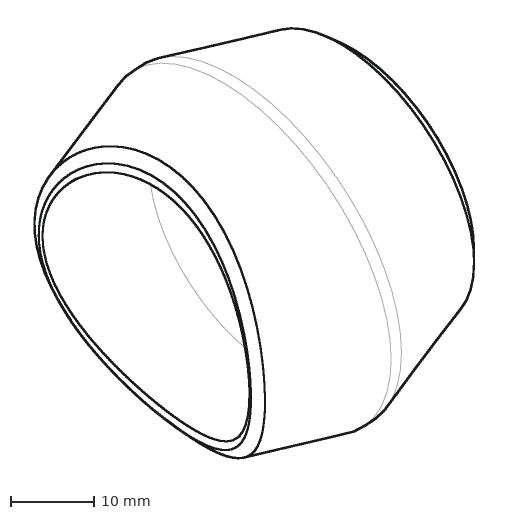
import cadquery as cq

length = 36.75
belt_radius = 25.4
belt_width = 1.7
belt_to_flat_end = 18.35
weld_bevel = 1.7
shoulder_radius = 20.15
flat_end_radius = 18.35

inlet_radius = 18.3
outlet_radius = 16.6

saddle_radius = 53.35
saddle_tip_half_width = 18.75
saddle_bevel = 1.3
blank_overrun = 3.55

flat_end_y = length / 2
shoulder_y = flat_end_y - weld_bevel
belt_back_y = flat_end_y - belt_to_flat_end
belt_front_y = belt_back_y - belt_width
taper_start_y = (belt_back_y + belt_front_y) / 2
saddle_tip_y = -length / 2

cone_slope = (belt_radius - shoulder_radius) / (belt_back_y - shoulder_y)
blank_front_y = saddle_tip_y - blank_overrun
blank_front_radius = belt_radius + cone_slope * (belt_front_y - blank_front_y)


def turned(profile):
    """Solid made by turning an XY profile about the Y axis."""
    return cq.Workplane("XY").polyline(profile).close().revolve(360, (0, 0), (0, 1))


blank = turned([
    (0, flat_end_y),
    (flat_end_radius, flat_end_y),
    (shoulder_radius, shoulder_y),
    (belt_radius, belt_back_y),
    (belt_radius, belt_front_y),
    (blank_front_radius, blank_front_y),
    (0, blank_front_y),
])

pipe_y = saddle_tip_y - (saddle_radius**2 - saddle_tip_half_width**2) ** 0.5
pipe_length = 3 * belt_radius
pipe = (
    cq.Workplane("XY")
    .workplane(offset=-pipe_length / 2)
    .center(0, pipe_y)
    .circle(saddle_radius)
    .extrude(pipe_length)
)
saddled = blank.cut(pipe)

beveled = saddled.faces("<Y").edges().chamfer(saddle_bevel)

bore = turned([
    (0, flat_end_y),
    (outlet_radius, flat_end_y),
    (inlet_radius, taper_start_y),
    (inlet_radius, blank_front_y),
    (0, blank_front_y),
])

result = beveled.cut(bore)